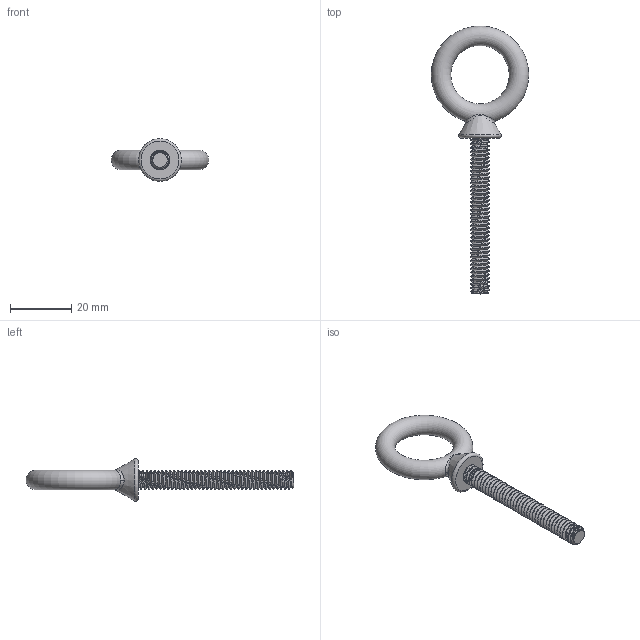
import cadquery as cq
import math


ring_outer_diameter = 31.75
wire_diameter = 6.35
wire_radius = wire_diameter / 2
ring_radius = (ring_outer_diameter - wire_diameter) / 2

overall_length = 87.31
shank_length = 50.8
seat_to_ring_centre = overall_length - ring_outer_diameter / 2 - shank_length

shoulder_diameter = 13.89
shoulder_half_angle = math.radians(30)
seat_edge_radius = 0.79
neck_fillet_radius = 0.79
shank_embed_length = 3.0

thread_diameter = 6.35
thread_pitch = 1.27
thread_half_angle = math.radians(30)
thread_depth_ratio = 0.6134
thread_depth = thread_depth_ratio * thread_pitch
crest_width = thread_pitch / 8
ridge_root_overlap = 0.05
thread_radius = thread_diameter / 2
root_radius = thread_radius - thread_depth
trim_clearance = 0.5


def make_ring():
    return cq.Workplane("XY").add(cq.Solid.makeTorus(ring_radius, wire_radius))


def make_shoulder():
    """Cone with a rounded seat edge, running up to the centre of the ring wire."""
    seat_y = -seat_to_ring_centre
    top_y = -ring_radius
    flat_radius = shoulder_diameter / 2 - seat_edge_radius
    arc_centre_y = seat_y + seat_edge_radius

    def seat_edge_point(angle):
        return (
            flat_radius + seat_edge_radius * math.cos(angle),
            arc_centre_y + seat_edge_radius * math.sin(angle),
        )

    cone_start = seat_edge_point(shoulder_half_angle)
    arc_middle = seat_edge_point((shoulder_half_angle - math.pi / 2) / 2)
    top_radius = cone_start[0] - (top_y - cone_start[1]) * math.tan(shoulder_half_angle)
    return (
        cq.Workplane("XY")
        .moveTo(0, seat_y)
        .lineTo(flat_radius, seat_y)
        .threePointArc(arc_middle, cone_start)
        .lineTo(top_radius, top_y)
        .lineTo(0, top_y)
        .close()
        .revolve(360, (0, 0, 0), (0, 1, 0))
    )


def make_eye():
    """Ring and shoulder joined, with a fillet along the curve where they meet."""
    neck_zone = cq.selectors.BoxSelector(
        (-shoulder_diameter / 2, -ring_radius - wire_radius, -shoulder_diameter / 2),
        (shoulder_diameter / 2, -ring_radius, shoulder_diameter / 2),
    )
    eye = make_ring().union(make_shoulder())
    return eye.edges(neck_zone).fillet(neck_fillet_radius)


def make_thread_ridge():
    """Right-handed ridge along +Z, running one pitch past each end of the shank."""
    base_radius = root_radius - ridge_root_overlap
    crest_half_width = crest_width / 2
    base_half_width = crest_half_width + (thread_radius - base_radius) * math.tan(thread_half_angle)
    helix = cq.Wire.makeHelix(thread_pitch, shank_length + 2 * thread_pitch, root_radius)
    ridge = (
        cq.Workplane("XZ")
        .moveTo(base_radius, -base_half_width)
        .lineTo(thread_radius, -crest_half_width)
        .lineTo(thread_radius, crest_half_width)
        .lineTo(base_radius, base_half_width)
        .close()
        .sweep(cq.Workplane(helix), isFrenet=True)
    )
    return ridge.translate((0, 0, -thread_pitch))


def make_shank():
    """Threaded shank along +Z with its seat at Z = 0, chamfered to the root at its free end."""
    start = (0, 0, -shank_embed_length)
    core_length = shank_embed_length + shank_length
    core = cq.Workplane("XY", origin=start).circle(root_radius).extrude(core_length + thread_pitch)
    trim = (
        cq.Workplane("XY", origin=start)
        .circle(thread_radius + trim_clearance)
        .extrude(core_length)
        .faces(">Z")
        .chamfer(thread_depth + trim_clearance)
    )
    return core.union(make_thread_ridge()).intersect(trim)


shank = make_shank().rotate((0, 0, 0), (1, 0, 0), 90).translate((0, -seat_to_ring_centre, 0))
result = make_eye().union(shank)